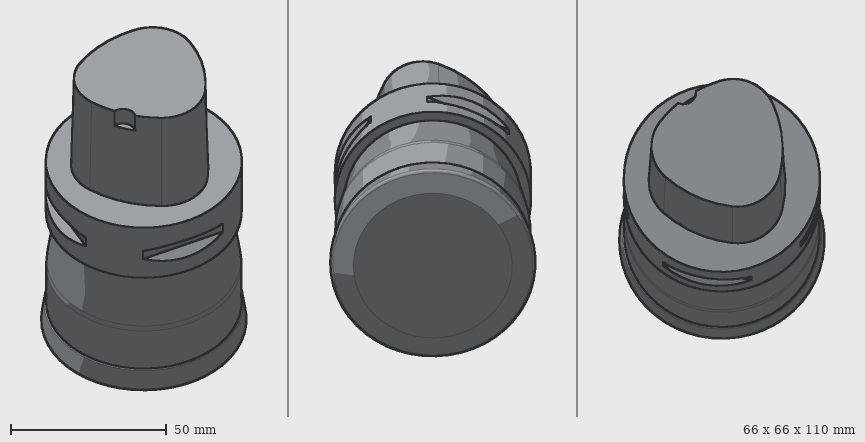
import cadquery as cq
import math

overall_height = 110.0
shank_base_z = 72.0
collar_bottom_z = 50.0
neck_bottom_z = 49.5
cone_bottom_z = 28.6
shoulder_bottom_z = 26.5
head_top_z = 10.0

collar_radius = 63.0 / 2
body_radius = 62.8 / 2
neck_radius = 28.5
cone_middle_radius = 29.8
cone_bottom_radius = 31.2

head_radius = 33.0
rim_radius = 1.1
rim_center_z = 2.4
flare_angle = 8.0
underside_angle = 11.5
head_top_fillet = 0.4

lobe_offset = 8.8
flank_offset = 19.2
lobe_radius = 14.7
shank_taper_inset = 0.9
shank_height = overall_height - shank_base_z

notch_radius = 8.0 / 2
notch_depth = 6.4
notch_axis_y = -21.3

slot_count = 4
slot_center_z = 60.0
slot_floor_height = 3.4
slot_mouth_height = 7.6
slot_floor_distance = 28.0


def polar(radius, angle):
    turn = math.radians(angle)
    return (radius * math.cos(turn), radius * math.sin(turn))


def shank():
    """Tapered polygon with three round lobes and three flatter flanks."""
    lobe_x, lobe_y = polar(lobe_offset, -30)
    center_distance = math.hypot(lobe_x, flank_offset - lobe_y)
    flank_radius = center_distance + lobe_radius
    junction_x = lobe_x * flank_radius / center_distance
    junction_y = flank_offset + (lobe_y - flank_offset) * flank_radius / center_distance
    junction_distance = math.hypot(junction_x, junction_y)
    junction_half_angle = math.degrees(math.atan2(junction_x, -junction_y))
    apex_distance = lobe_offset + lobe_radius
    flank_distance = flank_radius - flank_offset

    outline = cq.Workplane("XY", origin=(0, 0, shank_base_z))
    outline = outline.moveTo(*polar(junction_distance, -90 - junction_half_angle))
    for flank_angle in (-90, 30, 150):
        outline = outline.threePointArc(
            polar(flank_distance, flank_angle),
            polar(junction_distance, flank_angle + junction_half_angle),
        )
        outline = outline.threePointArc(
            polar(apex_distance, flank_angle + 60),
            polar(junction_distance, flank_angle + 120 - junction_half_angle),
        )
    taper = math.degrees(math.atan2(shank_taper_inset, shank_height))
    return outline.close().extrude(shank_height, taper=taper)


def key_notch():
    return (
        cq.Workplane("XY", origin=(0, notch_axis_y, overall_height - notch_depth))
        .circle(notch_radius)
        .extrude(notch_depth)
    )


def turned_body():
    """Collar, neck, bulged cone, shoulder and cylinder, as one revolved profile."""
    return (
        cq.Workplane("XZ")
        .moveTo(0, shank_base_z)
        .lineTo(collar_radius, shank_base_z)
        .lineTo(collar_radius, collar_bottom_z)
        .lineTo(neck_radius, collar_bottom_z)
        .lineTo(neck_radius, neck_bottom_z)
        .threePointArc(
            (cone_middle_radius, (neck_bottom_z + cone_bottom_z) / 2),
            (cone_bottom_radius, cone_bottom_z),
        )
        .lineTo(body_radius, shoulder_bottom_z)
        .lineTo(body_radius, head_top_z)
        .lineTo(0, head_top_z)
        .close()
        .revolve(360, (0, 0), (0, 1))
    )


def gripper_slot(angle):
    """Slot across the collar with a flat floor and sloping sides."""
    half_floor = slot_floor_height / 2
    half_mouth = slot_mouth_height / 2
    return (
        cq.Workplane("XZ", origin=(0, 0, slot_center_z))
        .moveTo(slot_floor_distance, -half_floor)
        .lineTo(collar_radius, -half_mouth)
        .lineTo(collar_radius, half_mouth)
        .lineTo(slot_floor_distance, half_floor)
        .close()
        .extrude(collar_radius, both=True)
        .rotate((0, 0, 0), (0, 0, 1), angle)
    )


def make_holder():
    holder = turned_body().union(shank()).cut(key_notch())
    for index in range(slot_count):
        holder = holder.cut(gripper_slot(45 + index * 360 / slot_count))
    return holder


def make_head():
    """Flared disc with a rounded rim and a shallow conical underside."""
    rim_center_x = head_radius - rim_radius

    def rim_point(angle):
        x, z = polar(rim_radius, angle)
        return (rim_center_x + x, rim_center_z + z)

    rim_top = rim_point(flare_angle)
    rim_bottom = rim_point(underside_angle - 90)
    top_radius = rim_top[0] - (head_top_z - rim_top[1]) * math.tan(math.radians(flare_angle))
    bottom_radius = rim_bottom[0] - rim_bottom[1] / math.tan(math.radians(underside_angle))
    head = (
        cq.Workplane("XZ")
        .moveTo(0, head_top_z)
        .lineTo(top_radius, head_top_z)
        .lineTo(*rim_top)
        .threePointArc(rim_point(0), rim_bottom)
        .lineTo(bottom_radius, 0)
        .lineTo(0, 0)
        .close()
        .revolve(360, (0, 0), (0, 1))
    )
    return head.faces(">Z").edges().fillet(head_top_fillet)


holder = make_holder()
head = make_head()
result = cq.Compound.makeCompound([holder.val(), head.val()])